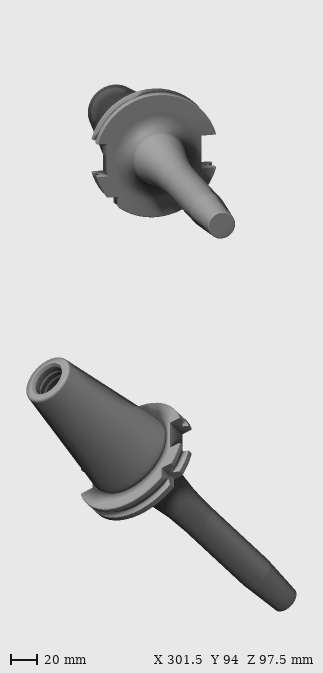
import cadquery as cq
import math

total_length = 301.5
gauge_x = 101.5
flange_back_x = 105.0
flange_front_x = 120.5

gauge_radius = 35.0
taper_half_ratio = 7 / 48
tail_radius = gauge_radius - gauge_x * taper_half_ratio
tail_round = 2.5
neck_radius = 34.0
neck_start_x = 104.0
neck_bevel = gauge_radius - neck_radius

flange_diameter = 97.5
flange_radius = flange_diameter / 2
flange_chamfer = 0.5
groove_x = 112.5
groove_width = 7.0
groove_depth = 3.5
groove_half_angle = math.radians(30)

slot_half_width = 13.0
front_slot_floor = 37.7
back_slot_floor = 35.3
notch_y = -29.5
notch_z = -30.0
notch_corner_radius = 1.2

nose_diameter = 26.8
nose_radius = nose_diameter / 2
nose_start_x = 190.0
nose_tip_radius = 10.5
nose_taper_x = 263.5
tip_chamfer = 0.5
sweep_start_x = 129.7
sweep_start_radius = 21.0

mouth_radius = 14.2
bore_radius = 12.7
mouth_depth = 2.5
bore_depth = 7.5
thread_radius = 10.5
thread_depth = 42.2
drill_half_angle = math.radians(59)
thread_lead_radius = 11.8
thread_lead_depth = 12.0


def revolve_profile(profile):
    """Revolve a closed (x, radius) outline about the X axis."""
    return profile.close().revolve(360, (0, 0, 0), (1, 0, 0))


def make_body():
    sweep_length = nose_start_x - sweep_start_x
    sweep_drop = sweep_start_radius - nose_radius
    sweep_arc = (sweep_length**2 + sweep_drop**2) / (2 * sweep_drop)
    sweep_angle = math.asin(sweep_length / sweep_arc)
    half_angle = sweep_angle / 2
    sweep_mid = (
        nose_start_x - sweep_arc * math.sin(half_angle),
        nose_radius + sweep_arc * (1 - math.cos(half_angle)),
    )

    root_arc = (sweep_start_x - flange_front_x) / (1 - math.sin(sweep_angle))
    root_center_x = flange_front_x + root_arc
    root_center_radius = sweep_start_radius + root_arc * math.cos(sweep_angle)
    root_mid_angle = (math.pi / 2 - sweep_angle) / 2
    root_mid = (
        root_center_x - root_arc * math.cos(root_mid_angle),
        root_center_radius - root_arc * math.sin(root_mid_angle),
    )

    tip_slope = (nose_radius - nose_tip_radius) / (total_length - nose_taper_x)
    tip_chamfer_radius = nose_tip_radius + tip_chamfer * tip_slope

    taper_angle = math.atan(taper_half_ratio)
    round_center_radius = (
        tail_radius + tail_round * taper_half_ratio - tail_round / math.cos(taper_angle)
    )
    round_mid_angle = (math.pi / 2 + taper_angle) / 2
    round_mid = (
        tail_round * (1 - math.cos(round_mid_angle)),
        round_center_radius + tail_round * math.sin(round_mid_angle),
    )
    round_end = (
        tail_round * (1 - math.sin(taper_angle)),
        round_center_radius + tail_round * math.cos(taper_angle),
    )

    return revolve_profile(
        cq.Workplane("XY")
        .moveTo(0, 0)
        .lineTo(0, round_center_radius)
        .threePointArc(round_mid, round_end)
        .lineTo(gauge_x, gauge_radius)
        .lineTo(neck_start_x - neck_bevel, gauge_radius)
        .lineTo(neck_start_x, neck_radius)
        .lineTo(flange_back_x, neck_radius)
        .lineTo(flange_back_x, flange_radius - flange_chamfer)
        .lineTo(flange_back_x + flange_chamfer, flange_radius)
        .lineTo(flange_front_x - flange_chamfer, flange_radius)
        .lineTo(flange_front_x, flange_radius - flange_chamfer)
        .lineTo(flange_front_x, root_center_radius)
        .threePointArc(root_mid, (sweep_start_x, sweep_start_radius))
        .threePointArc(sweep_mid, (nose_start_x, nose_radius))
        .lineTo(nose_taper_x, nose_radius)
        .lineTo(total_length - tip_chamfer, tip_chamfer_radius)
        .lineTo(total_length, nose_tip_radius - tip_chamfer)
        .lineTo(total_length, 0)
    )


def make_gripper_groove():
    half_top = groove_width / 2
    half_floor = half_top - groove_depth * math.tan(groove_half_angle)
    floor_radius = flange_radius - groove_depth
    return revolve_profile(
        cq.Workplane("XY")
        .moveTo(groove_x - half_top, flange_radius)
        .lineTo(groove_x - half_floor, floor_radius)
        .lineTo(groove_x + half_floor, floor_radius)
        .lineTo(groove_x + half_top, flange_radius)
    )


def make_flange_cutter(y_min, y_max, z_min, z_max):
    """Box through the flange thickness only."""
    size = (flange_front_x - flange_back_x, y_max - y_min, z_max - z_min)
    return cq.Workplane("XY").box(*size, centered=False).translate((flange_back_x, y_min, z_min))


def make_orientation_notch():
    cutter = make_flange_cutter(-flange_radius, notch_y, -flange_radius, notch_z)
    return cutter.edges("|X and >Y and >Z").fillet(notch_corner_radius)


def make_stud_hole():
    lead_chamfer = bore_radius - thread_lead_radius
    thread_chamfer = thread_lead_radius - thread_radius
    drill_tip_x = thread_depth + thread_radius / math.tan(drill_half_angle)
    return revolve_profile(
        cq.Workplane("XY")
        .moveTo(0, 0)
        .lineTo(0, mouth_radius)
        .lineTo(mouth_depth, bore_radius)
        .lineTo(bore_depth, bore_radius)
        .lineTo(bore_depth + lead_chamfer, thread_lead_radius)
        .lineTo(thread_lead_depth, thread_lead_radius)
        .lineTo(thread_lead_depth + thread_chamfer, thread_radius)
        .lineTo(thread_depth, thread_radius)
        .lineTo(drill_tip_x, 0)
    )


front_slot = make_flange_cutter(-flange_radius, -front_slot_floor, -slot_half_width, slot_half_width)
back_slot = make_flange_cutter(back_slot_floor, flange_radius, -slot_half_width, slot_half_width)

result = (
    make_body()
    .cut(make_gripper_groove())
    .cut(front_slot)
    .cut(back_slot)
    .cut(make_orientation_notch())
    .cut(make_stud_hole())
)